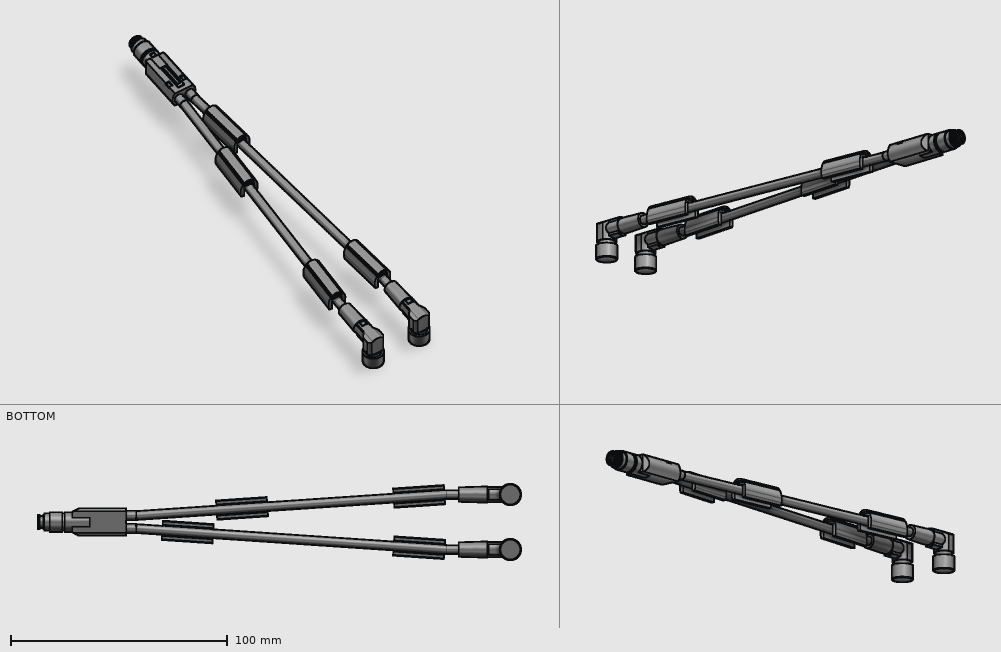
import cadquery as cq
import math


TOTAL_LENGTH = 223.25
TOTAL_WIDTH = 35.4
TOTAL_HEIGHT = 19.16

TIP_LENGTH = 3.0
TIP_RADIUS = 3.4
SEAL_GROOVE_START = 1.0
SEAL_GROOVE_END = 2.4
SEAL_GROOVE_RADIUS = 2.9
COLLAR_END = 5.5
COLLAR_RADIUS = 4.1
RING_END = 11.3
RING_RADIUS = 4.6
NECK_END = 12.4
NECK_RADIUS = 4.1
SOCKET_RADIUS = 2.6
SOCKET_DEPTH = 5.0
PIN_COUNT = 3
PIN_RADIUS = 0.5
PIN_CIRCLE_RADIUS = 1.4
PIN_RECESS = 0.5

BODY_END = 40.8
BODY_HALF_WIDTH = 6.4
BODY_HALF_HEIGHT = 4.1
BODY_FLAT_HALF_WIDTH = 5.0
TAPER_START = 16.0
TAPER_END = 19.0
TAPER_HALF_WIDTH = 4.8
BARREL_END = 24.0
RIB_END = 38.6
RIB_WIDTH = 3.4
RIB_HEIGHT = 0.4
RIB_SLOT_WIDTH = 1.6
RIB_SLOT_END = 36.5
MARK_START = 14.0
MARK_SIZE = 2.2
POCKET_START = 32.8
POCKET_LENGTH = 3.0
POCKET_INNER_Y = 3.0
POCKET_DEPTH = 0.8

CABLE_RADIUS = 2.1
OUTLET_RADIUS = 2.25
OUTLET_END = 45.4
OUTLET_Y = 3.0
CABLE_BEND_X = 188.7

SLEEVE_LENGTH = 23.6
UPPER_SLEEVE_X = (69.2, 176.1)
LOWER_SLEEVE_X = (94.3, 176.1)
SLEEVE_TOP = 5.16
LID_EDGE_Z = 3.7
LID_HALF_WIDTH = 3.0
SHELL_HALF_WIDTH = 4.5
SHELL_SHOULDER_Y = 3.3
SHELL_SHOULDER_Z = 3.3
SHELL_BULGE_Y = 4.25
SHELL_BULGE_Z = 1.5
SHELL_WAIST_Z = -0.7
LEG_EDGE_Z = -2.7
SLEEVE_BOTTOM = -4.2
LEG_BOTTOM_Y = 4.1
CABLE_SPACE_WIDTH = 5.2
CABLE_SPACE_TOP = 1.9
SLOT_WIDTH = 4.8
SLOT_BOTTOM = 3.0
SLOT_TOP = 4.0

NUT_RADIUS = 5.0
NUT_BOTTOM = SLEEVE_TOP - TOTAL_HEIGHT
NUT_TOP = -7.2
NUT_CHAMFER = 0.4
HEAD_X = TOTAL_LENGTH - NUT_RADIUS
HEAD_Y = TOTAL_WIDTH / 2 - NUT_RADIUS
STEM_RADIUS = 3.9
HEAD_RADIUS = 4.7
HEAD_HALF_WIDTH = 4.4
HEAD_BOTTOM = -5.3
HEAD_TOP = 4.5
HEAD_BACK_LENGTH = 3.5
ROOF_HALF_WIDTH = 2.5
ROOF_DROP = 1.8
GRIP_START = 194.4
GRIP_END = 207.5
GRIP_RADIUS_START = 3.4
GRIP_RADIUS_END = 3.8
SHOULDER_RADIUS = 3.6
RIDGE_START = 208.3
RIDGE_MARK_START = 208.6
RIDGE_MARK_SIZE = 2.6
RIDGE_MARK_DEPTH = 0.5


def rod(start, end, radius, y=0.0, z=0.0):
    """Round bar along X."""
    return cq.Workplane("YZ", origin=(start, y, z)).circle(radius).extrude(end - start)


def block(x_range, y_range, z_range):
    """Box given by its limits on each axis."""
    size = [high - low for low, high in (x_range, y_range, z_range)]
    corner = (x_range[0], y_range[0], z_range[0])
    return cq.Workplane("XY").box(*size, centered=False).translate(corner)


def plug_front():
    """Turned front end of the plug, with a seal groove and contact pins in its socket."""
    front = rod(0, TIP_LENGTH, TIP_RADIUS)
    groove_core = rod(SEAL_GROOVE_START, SEAL_GROOVE_END, SEAL_GROOVE_RADIUS)
    front = front.cut(rod(SEAL_GROOVE_START, SEAL_GROOVE_END, TIP_RADIUS).cut(groove_core))
    front = front.union(rod(TIP_LENGTH, COLLAR_END, COLLAR_RADIUS))
    front = front.union(rod(COLLAR_END, RING_END, RING_RADIUS))
    front = front.union(rod(RING_END, NECK_END, NECK_RADIUS))
    front = front.union(rod(NECK_END, BARREL_END, RING_RADIUS))
    front = front.cut(rod(0, SOCKET_DEPTH, SOCKET_RADIUS))
    for index in range(PIN_COUNT):
        angle = math.pi / 2 + index * 2 * math.pi / PIN_COUNT
        pin_y = PIN_CIRCLE_RADIUS * math.cos(angle)
        pin_z = PIN_CIRCLE_RADIUS * math.sin(angle)
        front = front.union(rod(PIN_RECESS, SOCKET_DEPTH, PIN_RADIUS, pin_y, pin_z))
    return front


def plug_body():
    """Moulded body: flat top and bottom, rounded sides, tapered in plan at the front."""
    section = (
        cq.Workplane("YZ", origin=(TAPER_START, 0, 0))
        .moveTo(-BODY_FLAT_HALF_WIDTH, -BODY_HALF_HEIGHT)
        .lineTo(BODY_FLAT_HALF_WIDTH, -BODY_HALF_HEIGHT)
        .threePointArc((BODY_HALF_WIDTH, 0), (BODY_FLAT_HALF_WIDTH, BODY_HALF_HEIGHT))
        .lineTo(-BODY_FLAT_HALF_WIDTH, BODY_HALF_HEIGHT)
        .threePointArc((-BODY_HALF_WIDTH, 0), (-BODY_FLAT_HALF_WIDTH, -BODY_HALF_HEIGHT))
        .close()
        .extrude(BODY_END - TAPER_START)
    )
    plan = (
        cq.Workplane("XY", origin=(0, 0, -BODY_HALF_HEIGHT))
        .polyline(
            [
                (TAPER_START, -TAPER_HALF_WIDTH),
                (TAPER_END, -BODY_HALF_WIDTH),
                (BODY_END, -BODY_HALF_WIDTH),
                (BODY_END, BODY_HALF_WIDTH),
                (TAPER_END, BODY_HALF_WIDTH),
                (TAPER_START, TAPER_HALF_WIDTH),
            ]
        )
        .close()
        .extrude(2 * BODY_HALF_HEIGHT)
    )
    return section.intersect(plan)


def plug_top_details(plug):
    """Slotted rib, square mark and two grip pockets on the top of the plug."""
    rib_top = BODY_HALF_HEIGHT + RIB_HEIGHT
    rib = block((BARREL_END, RIB_END), (-RIB_WIDTH / 2, RIB_WIDTH / 2), (0, rib_top))
    slot = block(
        (BARREL_END, RIB_SLOT_END),
        (-RIB_SLOT_WIDTH / 2, RIB_SLOT_WIDTH / 2),
        (BODY_HALF_HEIGHT, rib_top),
    )
    mark = block(
        (MARK_START, MARK_START + MARK_SIZE),
        (-MARK_SIZE / 2, MARK_SIZE / 2),
        (BODY_HALF_HEIGHT, RING_RADIUS),
    )
    plug = plug.union(rib.cut(slot)).cut(mark)
    pocket = block(
        (POCKET_START, POCKET_START + POCKET_LENGTH),
        (POCKET_INNER_Y, BODY_FLAT_HALF_WIDTH),
        (BODY_HALF_HEIGHT - POCKET_DEPTH, BODY_HALF_HEIGHT),
    )
    return plug.cut(pocket).cut(pocket.mirror("XZ"))


def cable(side):
    """One cable: outlet at the plug, long inclined run, short straight run into the socket."""
    run_x = CABLE_BEND_X - OUTLET_END
    run_y = side * (HEAD_Y - OUTLET_Y)
    direction = cq.Vector(run_x, run_y, 0)
    start = cq.Vector(OUTLET_END, side * OUTLET_Y, 0)
    inclined = cq.Solid.makeCylinder(CABLE_RADIUS, direction.Length, start, direction)
    wires = rod(BODY_END, OUTLET_END, OUTLET_RADIUS, side * OUTLET_Y)
    wires = wires.union(cq.Workplane(inclined))
    joint = cq.Workplane("XY").sphere(CABLE_RADIUS).translate((CABLE_BEND_X, side * HEAD_Y, 0))
    return wires.union(joint).union(rod(CABLE_BEND_X, GRIP_START, CABLE_RADIUS, side * HEAD_Y))


def sleeve(center_x, side):
    """Label sleeve: arched lid over a label slot, bulged shell and two legs beside the cable."""
    slope = side * (HEAD_Y - OUTLET_Y) / (CABLE_BEND_X - OUTLET_END)
    center_y = side * OUTLET_Y + slope * (center_x - OUTLET_END)
    profile = (
        cq.Workplane("YZ", origin=(-SLEEVE_LENGTH / 2, 0, 0))
        .moveTo(-LEG_BOTTOM_Y, SLEEVE_BOTTOM)
        .lineTo(LEG_BOTTOM_Y, SLEEVE_BOTTOM)
        .lineTo(SHELL_HALF_WIDTH, LEG_EDGE_Z)
        .lineTo(SHELL_HALF_WIDTH, SHELL_WAIST_Z)
        .threePointArc((SHELL_BULGE_Y, SHELL_BULGE_Z), (SHELL_SHOULDER_Y, SHELL_SHOULDER_Z))
        .lineTo(LID_HALF_WIDTH, SHELL_SHOULDER_Z)
        .lineTo(LID_HALF_WIDTH, LID_EDGE_Z)
        .threePointArc((0, SLEEVE_TOP), (-LID_HALF_WIDTH, LID_EDGE_Z))
        .lineTo(-LID_HALF_WIDTH, SHELL_SHOULDER_Z)
        .lineTo(-SHELL_SHOULDER_Y, SHELL_SHOULDER_Z)
        .threePointArc((-SHELL_BULGE_Y, SHELL_BULGE_Z), (-SHELL_HALF_WIDTH, SHELL_WAIST_Z))
        .lineTo(-SHELL_HALF_WIDTH, LEG_EDGE_Z)
        .close()
        .extrude(SLEEVE_LENGTH)
    )
    length_range = (-SLEEVE_LENGTH / 2, SLEEVE_LENGTH / 2)
    cable_space = block(
        length_range,
        (-CABLE_SPACE_WIDTH / 2, CABLE_SPACE_WIDTH / 2),
        (SLEEVE_BOTTOM, CABLE_SPACE_TOP),
    )
    slot = block(length_range, (-SLOT_WIDTH / 2, SLOT_WIDTH / 2), (SLOT_BOTTOM, SLOT_TOP))
    angle = math.degrees(math.atan(slope))
    clip = profile.cut(cable_space).cut(slot)
    return clip.rotate((0, 0, 0), (0, 0, 1), angle).translate((center_x, center_y, 0))


def socket_head():
    """Upright head, centred on its own axis: a cylinder with flat sides and back and a crowned roof."""
    column = (
        cq.Workplane("XY", origin=(0, 0, HEAD_BOTTOM))
        .circle(HEAD_RADIUS)
        .extrude(HEAD_TOP - HEAD_BOTTOM)
    )
    eave_z = HEAD_TOP - ROOF_DROP
    crown_edge_z = math.sqrt(HEAD_TOP**2 - ROOF_HALF_WIDTH**2)
    gable = (
        cq.Workplane("YZ", origin=(-HEAD_RADIUS, 0, 0))
        .moveTo(-HEAD_HALF_WIDTH, HEAD_BOTTOM)
        .lineTo(HEAD_HALF_WIDTH, HEAD_BOTTOM)
        .lineTo(HEAD_HALF_WIDTH, eave_z)
        .lineTo(ROOF_HALF_WIDTH, crown_edge_z)
        .threePointArc((0, HEAD_TOP), (-ROOF_HALF_WIDTH, crown_edge_z))
        .lineTo(-HEAD_HALF_WIDTH, eave_z)
        .close()
        .extrude(HEAD_RADIUS + HEAD_BACK_LENGTH)
    )
    return column.intersect(gable)


def angled_socket(side):
    """Angled socket: tapered grip, head, stem and coupling nut pointing down."""
    grip = (
        cq.Workplane("YZ", origin=(GRIP_START, 0, 0))
        .circle(GRIP_RADIUS_START)
        .workplane(offset=GRIP_END - GRIP_START)
        .circle(GRIP_RADIUS_END)
        .loft()
    )
    shoulder = rod(GRIP_END, HEAD_X, SHOULDER_RADIUS)
    ridges = rod(RIDGE_START, HEAD_X, HEAD_TOP).intersect(
        block((RIDGE_START, HEAD_X), (-ROOF_HALF_WIDTH, ROOF_HALF_WIDTH), (-HEAD_TOP, HEAD_TOP))
    )
    ridge_mark = block(
        (RIDGE_MARK_START, RIDGE_MARK_START + RIDGE_MARK_SIZE),
        (-RIDGE_MARK_SIZE / 2, RIDGE_MARK_SIZE / 2),
        (HEAD_TOP - RIDGE_MARK_DEPTH, HEAD_TOP),
    )
    head = socket_head().translate((HEAD_X, 0, 0))
    stem = (
        cq.Workplane("XY", origin=(HEAD_X, 0, NUT_TOP))
        .circle(STEM_RADIUS)
        .extrude(HEAD_BOTTOM - NUT_TOP)
    )
    nut = (
        cq.Workplane("XY", origin=(HEAD_X, 0, NUT_BOTTOM))
        .circle(NUT_RADIUS)
        .extrude(NUT_TOP - NUT_BOTTOM)
        .faces("<Z")
        .chamfer(NUT_CHAMFER)
    )
    socket = grip.union(shoulder).union(ridges).cut(ridge_mark).union(head).union(stem).union(nut)
    return socket.translate((0, side * HEAD_Y, 0))


result = plug_top_details(plug_front().union(plug_body()))
for branch_side, sleeve_positions in ((1, UPPER_SLEEVE_X), (-1, LOWER_SLEEVE_X)):
    result = result.union(cable(branch_side))
    for sleeve_x in sleeve_positions:
        result = result.union(sleeve(sleeve_x, branch_side))
    result = result.union(angled_socket(branch_side))